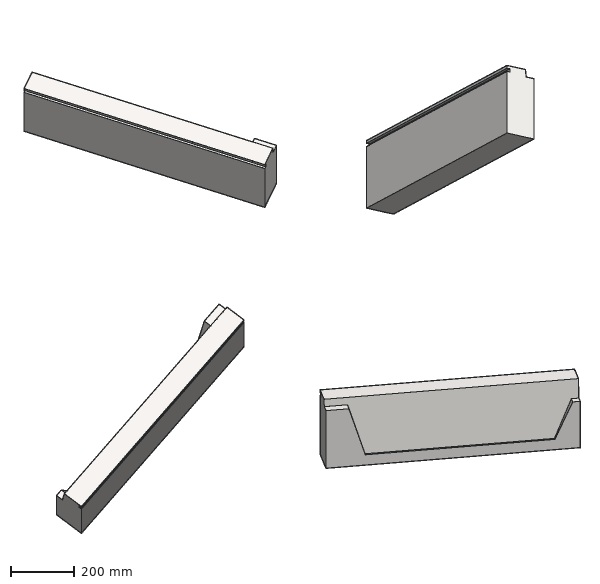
import cadquery as cq

LENGTH = 819.0
DEPTH = 101.5
HEIGHT = 228.5

GROOVE_DEPTH = 11.0
GROOVE_HEIGHT = 11.0
LIP_HEIGHT = 10.0
GROOVE_TOP = HEIGHT - LIP_HEIGHT

TOP_DEPTH = 70.0
FLOOR_DEPTH = 94.0
FLOOR_HEIGHT = 37.0

LEFT_SHOULDER_LENGTH = 24.5
LEFT_SHOULDER_HEIGHT = 164.0
RIGHT_SHOULDER_LENGTH = 74.5
RIGHT_SHOULDER_HEIGHT = 204.0

FLOOR_START = 82.0
FLOOR_END = 692.0


def front_body():
    """Full-length profile with a sloping back and a front groove."""
    groove_bottom = GROOVE_TOP - GROOVE_HEIGHT
    profile = [
        (0, 0),
        (DEPTH, 0),
        (DEPTH, FLOOR_HEIGHT),
        (FLOOR_DEPTH, FLOOR_HEIGHT),
        (TOP_DEPTH, HEIGHT),
        (0, HEIGHT),
        (0, GROOVE_TOP),
        (GROOVE_DEPTH, GROOVE_TOP),
        (GROOVE_DEPTH, groove_bottom),
        (0, groove_bottom),
    ]
    return cq.Workplane("YZ").polyline(profile).close().extrude(LENGTH)


def back_shoulders():
    """Stepped ends and recess floor, seen as an outline along the length."""
    outline = [
        (0, 0),
        (LENGTH, 0),
        (LENGTH, RIGHT_SHOULDER_HEIGHT),
        (LENGTH - RIGHT_SHOULDER_LENGTH, RIGHT_SHOULDER_HEIGHT),
        (FLOOR_END, FLOOR_HEIGHT),
        (FLOOR_START, FLOOR_HEIGHT),
        (LEFT_SHOULDER_LENGTH, LEFT_SHOULDER_HEIGHT),
        (0, LEFT_SHOULDER_HEIGHT),
    ]
    thickness = DEPTH - GROOVE_DEPTH
    return (
        cq.Workplane("XZ", origin=(0, DEPTH, 0))
        .polyline(outline)
        .close()
        .extrude(thickness)
    )


result = front_body().union(back_shoulders())